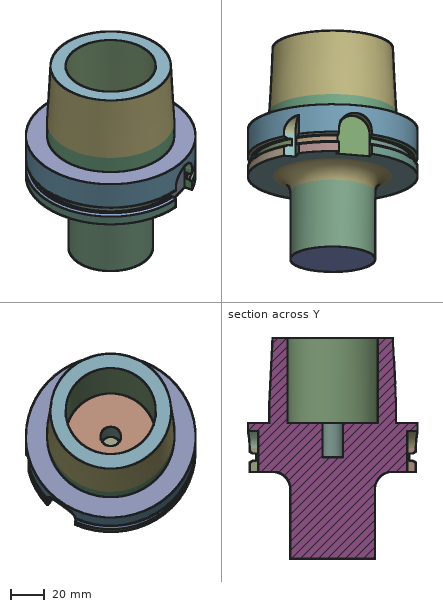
import cadquery as cq

total_height = 130.0
fillet_radius = 10.0
flange_bottom = 51.1
flange_height = 28.9
collar_height = 10.0
flange_top = flange_bottom + flange_height
taper_bottom = flange_top + collar_height

spigot_radius = 50.0 / 2
flange_radius = 100.0 / 2
taper_base_radius = 75.0 / 2
taper_tip_radius = 71.0 / 2

groove_floor_radius = 46.3
groove_lip_radius = 48.1
lower_rim_height = 5.6
groove_start = 6.8
groove_end = 10.8
upper_rim_start = 12.0

bore_radius = 53.0 / 2
bore_depth = 50.0
center_hole_radius = 12.0 / 2
center_hole_depth = 20.0

slot_width = 20.0
slot_spring_height = 14.0
key_floor_distance = 44.0
notch_wall_x = -31.5
notch_floor_y = 31.7
notch_center_x = notch_wall_x - slot_width / 2


def turned_body():
    """Spigot, grooved flange and taper as one revolved profile."""
    profile = (
        cq.Workplane("XZ")
        .lineTo(spigot_radius, 0)
        .lineTo(spigot_radius, flange_bottom - fillet_radius)
        .radiusArc((spigot_radius + fillet_radius, flange_bottom), fillet_radius)
        .lineTo(flange_radius, flange_bottom)
        .lineTo(flange_radius, flange_bottom + lower_rim_height)
        .lineTo(groove_lip_radius, flange_bottom + groove_start)
        .lineTo(groove_floor_radius, flange_bottom + groove_start)
        .lineTo(groove_floor_radius, flange_bottom + groove_end)
        .lineTo(groove_lip_radius, flange_bottom + groove_end)
        .lineTo(flange_radius, flange_bottom + upper_rim_start)
        .lineTo(flange_radius, flange_top)
        .lineTo(taper_base_radius, flange_top)
        .lineTo(taper_base_radius, taper_bottom)
        .lineTo(taper_tip_radius, total_height)
        .lineTo(0, total_height)
        .close()
    )
    return profile.revolve(360, (0, 0, 0), (0, 1, 0))


def blind_bore():
    """Wide bore with a narrower blind hole in its floor."""
    top = cq.Workplane("XY").workplane(offset=total_height)
    wide = top.circle(bore_radius).extrude(-bore_depth)
    narrow = top.circle(center_hole_radius).extrude(-(bore_depth + center_hole_depth))
    return wide.union(narrow)


def slot_cutter(floor_distance, side_offset):
    """Round-topped cutter running outward along +Y from its floor plane."""
    half_width = slot_width / 2
    return (
        cq.Workplane("XZ", origin=(side_offset, floor_distance, flange_bottom))
        .moveTo(-half_width, 0)
        .lineTo(-half_width, slot_spring_height)
        .threePointArc((0, slot_spring_height + half_width), (half_width, slot_spring_height))
        .lineTo(half_width, 0)
        .close()
        .extrude(-flange_radius)
    )


result = turned_body().cut(blind_bore())

for turn in (90, -90):
    drive_slot = slot_cutter(key_floor_distance, 0)
    result = result.cut(drive_slot.rotate((0, 0, 0), (0, 0, 1), turn))

result = result.cut(slot_cutter(notch_floor_y, notch_center_x))